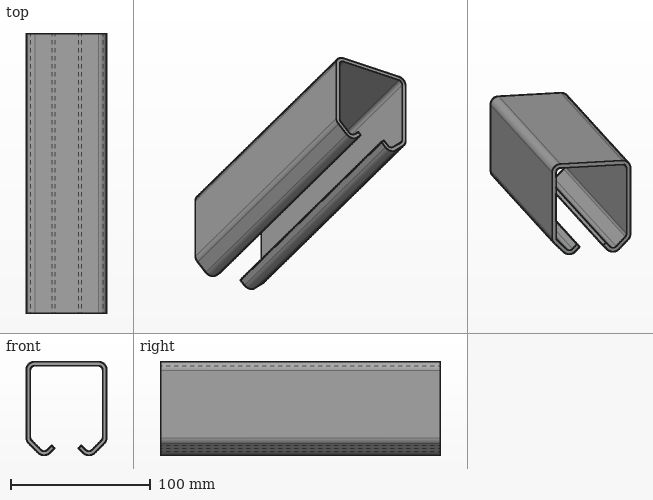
import cadquery as cq
import math

LENGTH = 200.0
WIDTH = 57.5
HEIGHT = 66.98
THICKNESS = 3.0
INNER_RADIUS = 3.0
FLANK_DROP = 6.75
LIP_GAP = 17.0
FLANK_ANGLE = 45.0

OUTER_RADIUS = INNER_RADIUS + THICKNESS
SLOPE = math.radians(FLANK_ANGLE)
FLANK_RUN = FLANK_DROP / math.tan(SLOPE)

SIDE_CENTRE_X = WIDTH / 2 - OUTER_RADIUS
TOP_CENTRE = (SIDE_CENTRE_X, HEIGHT - OUTER_RADIUS)
FLANK_CENTRE = (SIDE_CENTRE_X, OUTER_RADIUS + FLANK_DROP)
LIP_CENTRE = (SIDE_CENTRE_X - FLANK_RUN, OUTER_RADIUS)

TOP_ANGLE = math.pi / 2
SIDE_ANGLE = 0.0
FLANK_NORMAL = SLOPE - math.pi / 2
LIP_NORMAL = -math.pi / 2 - SLOPE

LIP_START_X = LIP_CENTRE[0] + OUTER_RADIUS * math.cos(LIP_NORMAL)
LIP_LENGTH = (LIP_START_X - LIP_GAP / 2) / math.cos(SLOPE)


def on_bend(centre, radius, angle):
    """Point on a bend circle at the given angle."""
    return (centre[0] + radius * math.cos(angle), centre[1] + radius * math.sin(angle))


def lip_tip(radius):
    """End of the lip on the sheet face that has the given bend radius."""
    x, z = on_bend(LIP_CENTRE, radius, LIP_NORMAL)
    return (x - LIP_LENGTH * math.cos(SLOPE), z + LIP_LENGTH * math.sin(SLOPE))


def add_bend(sketch, centre, radius, start, end):
    """Run a straight line to the bend, then follow its arc."""
    middle = (start + end) / 2
    sketch = sketch.lineTo(*on_bend(centre, radius, start))
    return sketch.threePointArc(on_bend(centre, radius, middle), on_bend(centre, radius, end))


def half_profile():
    """Closed outline of the right half of the bent sheet."""
    sketch = cq.Workplane("XZ").moveTo(0, HEIGHT)
    sketch = add_bend(sketch, TOP_CENTRE, OUTER_RADIUS, TOP_ANGLE, SIDE_ANGLE)
    sketch = add_bend(sketch, FLANK_CENTRE, OUTER_RADIUS, SIDE_ANGLE, FLANK_NORMAL)
    sketch = add_bend(sketch, LIP_CENTRE, OUTER_RADIUS, FLANK_NORMAL, LIP_NORMAL)
    sketch = sketch.lineTo(*lip_tip(OUTER_RADIUS)).lineTo(*lip_tip(INNER_RADIUS))
    sketch = add_bend(sketch, LIP_CENTRE, INNER_RADIUS, LIP_NORMAL, FLANK_NORMAL)
    sketch = add_bend(sketch, FLANK_CENTRE, INNER_RADIUS, FLANK_NORMAL, SIDE_ANGLE)
    sketch = add_bend(sketch, TOP_CENTRE, INNER_RADIUS, SIDE_ANGLE, TOP_ANGLE)
    return sketch.lineTo(0, HEIGHT - THICKNESS).close()


right_half = half_profile().extrude(LENGTH / 2, both=True)
left_half = right_half.mirror("YZ")
result = right_half.union(left_half, clean=True)